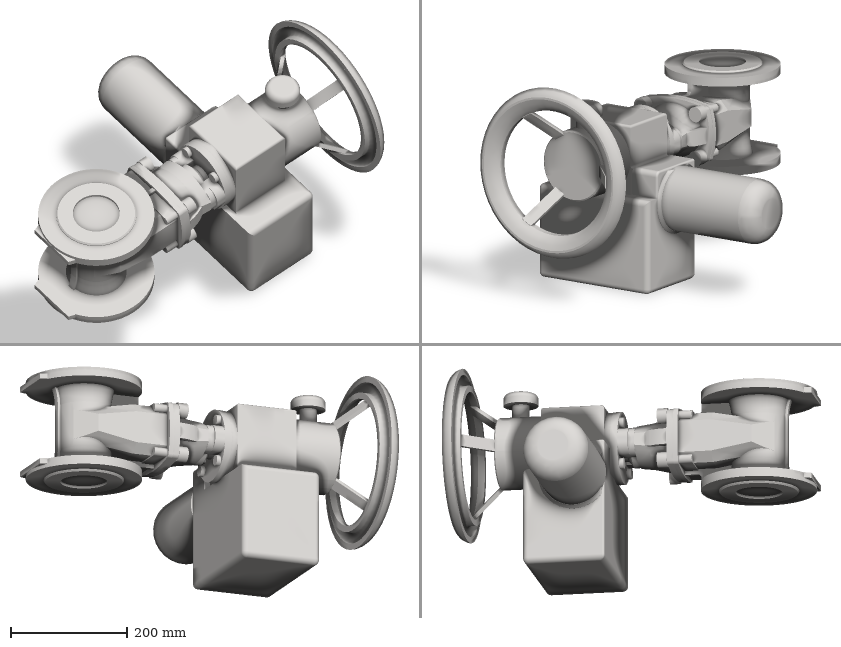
import cadquery as cq
import math


flange_radius = 100.0
flange_inner_z = 71.0
flange_outer_z = 87.0
raised_face_radius = 69.0
raised_face_height = 4.0
raised_face_chamfer = 2.5
bore_radius = 40.0
bore_depth = 4.5
neck_radius = 47.0
neck_straight_z = 40.0
neck_end_radius = 52.0
neck_mid_radius = 48.5
neck_rib_width = 14.0
neck_rib_height = 4.5
tab_front_half_width = 45.0
tab_back_half_width = 49.5
tab_length = 12.0
tab_height = 9.5

case_half_width = 61.5
case_nose_half_width = 34.0
case_nose_y = -33.0
case_slant_y = 2.0
case_half_height = 44.0
case_nose_half_height = 26.5
case_straight_y = 72.0
case_side_half_height = 27.5
case_nose_side_half_height = 9.0
case_ridge_half_width = 46.0
web_thickness = 7.5
web_half_height = 53.5
web_corner = 4.5
case_end_y = 105.5
case_end_half_width = 57.0
case_end_half_height = 46.5

joint_y = 129.0
joint_split_y = 137.0
joint_end_y = 148.5
joint_step = 0.5
joint_half_width = 75.5
joint_half_height = 57.0
joint_corner_x = 67.0
joint_corner_z = 48.5
joint_corner_fillet = 7.5
joint_bolt_x = 57.0
joint_bolt_z = 39.0
joint_boss_radius = 7.5
joint_head_radius = 13.0
joint_head_y = 166.0

bonnet_top_y = 207.5
yoke_plate_y = 218.0
bonnet_base_half_width = 56.0
bonnet_base_side = 16.0
bonnet_top_side = 10.0
bonnet_base_half_height = 48.0
bonnet_mid_y = 182.0
bonnet_mid_half_height = 39.0
bonnet_mid_side = 12.5
yoke_half_width = 59.0
yoke_half_height = 23.0
yoke_inner_x = 23.0
yoke_fillet = 19.0
hub_radius = 35.0
hub_neck_radius = 23.0
hub_neck_y = 227.5
side_rib_start_y = 193.5
side_rib_radius = 14.0
side_rib_half_width = 70.0
side_rib_middle = (65.0, 173.5)
side_rib_end_half_width = 54.0

actuator_radius = 62.0
mount_radius = 63.0
mount_end_y = 249.0
actuator_start_y = 236.5
actuator_end_y = 452.5
actuator_chamfer = 2.5
mount_bolt_offset = 36.0
mount_bolt_radius = 9.5
mount_bolt_height = 7.5
gearbox_half_width = 63.0
gearbox_start_y = 259.5
gearbox_end_y = 369.0
gearbox_top_z = 63.0
gearbox_fillet = 4.5
gearbox_skirt = 4.5

control_half_width = 115.0
control_start_y = 249.0
control_end_y = 392.0
control_top_z = -60.0
control_bottom_z = -225.5
control_fillet = 9.5
control_small_fillet = 4.0
motor_block_end_y = 364.5
motor_block_top_z = -12.5
motor_radius = 56.5
motor_y = 302.0
motor_z = -71.0
motor_end_x = -309.0
motor_fillet = 29.5
motor_collar_size = 5.5
collar_lip = 0.5

knob_y = 416.0
knob_stem_radius = 15.0
knob_radius = 30.0
knob_bottom_z = 83.5
knob_top_z = 105.0
knob_fillet = 10.0

wheel_radius = 150.0
wheel_back_y = 528.5
wheel_lip_y = 510.0
wheel_back_radius = 137.0
wheel_shoulder = (146.0, 521.0)
dish_radius = 133.0
dish_middle = (121.0, 523.0)
lip_inner_radius = 139.5
groove_inner_radius = 120.5
groove_depth = 9.5
ring_inner_radius = 110.0
ring_front_y = 499.5
ring_back_y = 511.5
spoke_angles = (60, 180, 300)
spoke_width = 21.0
spoke_thickness = 7.0
spoke_hub_radius = 53.5
spoke_hub_y = 446.0
spoke_rim_radius = 112.0
spoke_rim_y = 511.0

overlap = 3.0


def y_cylinder(radius, y_start, y_end, x=0, z=0):
    """Round bar along Y."""
    profile = cq.Workplane("XZ", origin=(x, y_start, z)).circle(radius)
    return profile.extrude(y_start - y_end)


def block(x_start, x_end, y_start, y_end, z_start, z_end):
    size = (x_end - x_start, y_end - y_start, z_end - z_start)
    return cq.Workplane("XY").box(*size, centered=False).translate((x_start, y_start, z_start))


def both_z(solid):
    """The solid together with its mirror image below."""
    return solid.union(solid.mirror("XY"))


def both_x(solid):
    return solid.union(solid.mirror("YZ"))


def revolve_about_y(profile):
    return profile.close().revolve(360, (0, 0, 0), (0, 1, 0))


def make_neck(extra_radius):
    """Straight tube that flares out to both flanges."""
    mid_flare_z = (neck_straight_z + flange_inner_z) / 2
    start_radius = neck_radius + extra_radius
    mid_radius = neck_mid_radius + extra_radius
    end_radius = neck_end_radius + extra_radius
    half = (
        cq.Workplane("XZ")
        .lineTo(start_radius, 0)
        .lineTo(start_radius, neck_straight_z)
        .threePointArc((mid_radius, mid_flare_z), (end_radius, flange_inner_z))
        .lineTo(0, flange_inner_z)
        .close()
        .revolve(360, (0, 0, 0), (0, 1, 0))
    )
    return both_z(half)


def make_neck_rib():
    strip = block(-neck_rib_width / 2, neck_rib_width / 2, -flange_radius, 0, -flange_inner_z, flange_inner_z)
    return make_neck(neck_rib_height).intersect(strip)


def make_flange():
    """Upper flange with raised face, blind bore and front tab."""
    disc = cq.Workplane("XY").workplane(offset=flange_inner_z).circle(flange_radius)
    disc = disc.extrude(flange_outer_z - flange_inner_z)
    disc = disc.faces(">Z").workplane().circle(raised_face_radius).extrude(raised_face_height)
    disc = disc.faces(">Z").chamfer(raised_face_chamfer)
    disc = disc.faces(">Z").workplane().circle(bore_radius).cutBlind(-bore_depth)
    tab_back_y = tab_length - flange_radius
    tab = (
        cq.Workplane("XY")
        .workplane(offset=flange_inner_z)
        .moveTo(-tab_front_half_width, -flange_radius)
        .lineTo(tab_front_half_width, -flange_radius)
        .lineTo(tab_back_half_width, tab_back_y)
        .lineTo(-tab_back_half_width, tab_back_y)
        .close()
        .extrude(tab_height)
    )
    return disc.union(tab)


def make_case():
    """Wedge housing: bevelled block tapering to a narrow nose."""

    def section(y, side_half_height, ridge_half_width, half_height):
        """Octagon with upright sides and bevelled corners."""
        corner = (ridge_half_width, half_height)
        side = (case_half_width, side_half_height)
        outline = [corner, side, (side[0], -side[1]), (corner[0], -corner[1])]
        opposite = [(-x, -z) for x, z in outline]
        return cq.Workplane("XZ", origin=(0, y, 0)).polyline(outline + opposite).close().wires().val()

    base_shape = (case_side_half_height, case_ridge_half_width, case_half_height)
    nose_shape = (case_nose_side_half_height, case_nose_half_width, case_nose_half_height)
    sections = [
        section(joint_y, *base_shape),
        section(case_straight_y, *base_shape),
        section(case_nose_y, *nose_shape),
    ]
    plan = (
        cq.Workplane("XY")
        .moveTo(0, joint_y)
        .lineTo(case_half_width, joint_y)
        .lineTo(case_half_width, case_slant_y)
        .lineTo(case_nose_half_width, case_nose_y)
        .lineTo(0, case_nose_y)
        .close()
        .extrude(case_half_height, both=True)
    )
    return both_x(plan).intersect(cq.Workplane("XY").add(cq.Solid.makeLoft(sections, True)))


def make_case_end():
    """Thick end of the case with the stiffening web."""
    half_width = case_end_half_width
    half_height = case_end_half_height
    end = block(-half_width, half_width, case_end_y, joint_y, -half_height, half_height)
    web = (
        cq.Workplane("YZ")
        .lineTo(joint_y, 0)
        .lineTo(joint_y, web_half_height)
        .lineTo(flange_radius + web_corner, web_half_height)
        .lineTo(flange_radius, web_half_height + web_corner)
        .lineTo(flange_radius, flange_inner_z)
        .lineTo(0, flange_inner_z)
        .close()
        .extrude(web_thickness / 2, both=True)
    )
    return end.union(both_z(web))


def joint_plate(y_start, y_end, inset):
    """Flange plate with four bulged sides."""
    corner_x = joint_corner_x - inset
    corner_z = joint_corner_z - inset
    half_width = joint_half_width - inset
    half_height = joint_half_height - inset
    return (
        cq.Workplane("XZ", origin=(0, y_start, 0))
        .moveTo(-corner_x, corner_z)
        .threePointArc((0, half_height), (corner_x, corner_z))
        .threePointArc((half_width, 0), (corner_x, -corner_z))
        .threePointArc((0, -half_height), (-corner_x, -corner_z))
        .threePointArc((-half_width, 0), (-corner_x, corner_z))
        .close()
        .extrude(y_start - y_end)
        .edges("|Y")
        .fillet(joint_corner_fillet)
    )


def make_joint():
    """Body flange and bonnet flange held by four bolts."""
    plates = joint_plate(joint_y, joint_split_y, 0).union(joint_plate(joint_split_y, joint_end_y, joint_step))
    for x in (-joint_bolt_x, joint_bolt_x):
        for z in (-joint_bolt_z, joint_bolt_z):
            plates = plates.union(y_cylinder(joint_boss_radius, case_end_y, joint_y, x, z))
            plates = plates.union(y_cylinder(joint_head_radius, joint_end_y, joint_head_y, x, z))
    return plates


def make_bonnet():
    def section(y, half_width, half_height, half_side):
        """Outline with flat sides and arched top and bottom."""
        return (
            cq.Workplane("XZ", origin=(0, y, 0))
            .moveTo(-half_width, half_side)
            .threePointArc((0, half_height), (half_width, half_side))
            .lineTo(half_width, -half_side)
            .threePointArc((0, -half_height), (-half_width, -half_side))
            .close()
            .wires()
            .val()
        )

    body = cq.Solid.makeLoft(
        [
            section(joint_end_y, bonnet_base_half_width, bonnet_base_half_height, bonnet_base_side),
            section(bonnet_mid_y, bonnet_base_half_width, bonnet_mid_half_height, bonnet_mid_side),
            section(bonnet_top_y, yoke_half_width, hub_radius, bonnet_top_side),
        ],
        True,
    )
    return cq.Workplane("XY").add(body)


def make_side_ribs():
    """Rounded lugs bulging from both sides of the bonnet."""
    plan = (
        cq.Workplane("XY")
        .moveTo(0, joint_end_y)
        .lineTo(side_rib_half_width, joint_end_y)
        .threePointArc(side_rib_middle, (side_rib_end_half_width, side_rib_start_y))
        .lineTo(0, side_rib_start_y)
        .close()
        .extrude(side_rib_radius, both=True)
    )
    straight_end_y = side_rib_start_y - side_rib_radius
    face = (
        cq.Workplane("YZ")
        .moveTo(joint_end_y, side_rib_radius)
        .lineTo(straight_end_y, side_rib_radius)
        .threePointArc((side_rib_start_y, 0), (straight_end_y, -side_rib_radius))
        .lineTo(joint_end_y, -side_rib_radius)
        .close()
        .extrude(side_rib_half_width)
    )
    return both_x(plan.intersect(face))


def make_yoke():
    """Stem hub and the two arms that carry the actuator."""
    hub = revolve_about_y(
        cq.Workplane("XY")
        .moveTo(0, bonnet_top_y)
        .lineTo(hub_radius, bonnet_top_y)
        .lineTo(hub_radius, yoke_plate_y)
        .lineTo(hub_neck_radius, hub_neck_y)
        .lineTo(hub_neck_radius, actuator_start_y)
        .lineTo(0, actuator_start_y)
    )
    half_height = yoke_half_height
    plate = block(-yoke_half_width, yoke_half_width, bonnet_top_y, yoke_plate_y, -half_height, half_height)
    plate = plate.edges("|Y").fillet(yoke_fillet)
    arm = block(yoke_inner_x, mount_radius, yoke_plate_y, actuator_start_y, -half_height, half_height)
    arm = arm.edges("|Y and >X").fillet(yoke_fillet)
    return hub.union(plate).union(both_x(arm))


def make_gearbox_skirt(side, base_z):
    """Hollow rounding where one gearbox side meets the face below it; side is 1 or -1."""
    size = gearbox_skirt
    bow = size * (1 - math.sqrt(0.5))
    return (
        cq.Workplane("XZ", origin=(0, gearbox_start_y, 0))
        .moveTo(side * gearbox_half_width, base_z)
        .lineTo(side * (gearbox_half_width + size), base_z)
        .threePointArc(
            (side * (gearbox_half_width + bow), base_z + bow),
            (side * gearbox_half_width, base_z + size),
        )
        .close()
        .extrude(gearbox_start_y - gearbox_end_y)
    )


def make_actuator():
    body = y_cylinder(actuator_radius, mount_end_y, actuator_end_y).faces(">Y").chamfer(actuator_chamfer)
    body = body.union(y_cylinder(mount_radius, actuator_start_y, mount_end_y))
    half_width = gearbox_half_width
    bottom_z = control_top_z - overlap
    gearbox = block(-half_width, half_width, gearbox_start_y, gearbox_end_y, bottom_z, gearbox_top_z)
    body = body.union(gearbox.faces(">Z").edges().fillet(gearbox_fillet))
    for x in (-mount_bolt_offset, mount_bolt_offset):
        for z in (-mount_bolt_offset, mount_bolt_offset):
            head_y = actuator_start_y - mount_bolt_height
            head = y_cylinder(mount_bolt_radius, head_y, actuator_start_y, x, z)
            body = body.union(head)
    return body


def make_control_box():
    """Electronics box with the raised block that carries the motor."""
    box = block(
        -control_half_width,
        control_half_width,
        control_start_y,
        control_end_y,
        control_bottom_z,
        control_top_z,
    )
    box = box.faces(">X or >Y or <Z").edges().fillet(control_fillet)
    box = box.faces("<X").edges("<Y").fillet(control_small_fillet)
    motor_block = block(
        -control_half_width,
        -gearbox_half_width,
        control_start_y,
        motor_block_end_y,
        control_top_z - overlap,
        motor_block_top_z,
    )
    motor_block = motor_block.edges("|X and >Y and >Z").fillet(control_fillet)
    motor_block = motor_block.edges("(<X and <Y) or (<X and >Z) or (<Y and >Z)").fillet(control_small_fillet)
    skirts = make_gearbox_skirt(-1, motor_block_top_z).union(make_gearbox_skirt(1, control_top_z))
    return box.union(motor_block).union(skirts)


def make_motor():
    """Motor can with a conical collar trimmed to the face it stands on."""
    base = cq.Workplane("YZ", origin=(-control_half_width, motor_y, motor_z))
    can = base.circle(motor_radius).extrude(motor_end_x + control_half_width)
    size = motor_collar_size
    collar = base.circle(motor_radius + size).extrude(-size).faces("<X").chamfer(size - collar_lip)
    seat = block(
        -control_half_width - size,
        -control_half_width,
        control_start_y + control_small_fillet,
        control_end_y,
        control_bottom_z,
        motor_block_top_z - control_small_fillet,
    )
    return can.faces("<X").edges().fillet(motor_fillet).union(collar.intersect(seat))


def make_knob():
    stem = cq.Workplane("XY", origin=(0, knob_y, 0)).circle(knob_stem_radius).extrude(knob_bottom_z)
    head = cq.Workplane("XY", origin=(0, knob_y, knob_bottom_z)).circle(knob_radius)
    head = head.extrude(knob_top_z - knob_bottom_z).faces(">Z").edges().fillet(knob_fillet)
    return stem.union(head)


def make_handwheel():
    """Dished rim with a front groove, held by three inclined spokes."""
    groove_mid_radius = (lip_inner_radius + groove_inner_radius) / 2
    rim = revolve_about_y(
        cq.Workplane("XY")
        .moveTo(ring_inner_radius, ring_back_y)
        .threePointArc(dish_middle, (dish_radius, wheel_back_y))
        .lineTo(wheel_back_radius, wheel_back_y)
        .threePointArc(wheel_shoulder, (wheel_radius, wheel_lip_y))
        .lineTo(lip_inner_radius, wheel_lip_y)
        .threePointArc((groove_mid_radius, wheel_lip_y + groove_depth), (groove_inner_radius, wheel_lip_y))
        .lineTo(groove_inner_radius, ring_front_y)
        .lineTo(ring_inner_radius, ring_front_y)
    )
    run = spoke_rim_radius - spoke_hub_radius
    rise = spoke_rim_y - spoke_hub_y
    length = math.hypot(run, rise)
    spoke = cq.Workplane("XY").box(length, spoke_thickness, spoke_width)
    spoke = spoke.rotate((0, 0, 0), (0, 0, 1), math.degrees(math.atan2(rise, run)))
    spoke = spoke.translate((spoke_hub_radius + run / 2, spoke_hub_y + rise / 2, 0))
    for angle in spoke_angles:
        rim = rim.union(spoke.rotate((0, 0, 0), (0, 1, 0), angle))
    return rim


result = make_neck(0)
for feature in (
    make_neck_rib(),
    both_z(make_flange()),
    make_case(),
    make_case_end(),
    make_joint(),
    make_bonnet(),
    make_side_ribs(),
    make_yoke(),
    make_actuator(),
    make_control_box(),
    make_motor(),
    make_knob(),
    make_handwheel(),
):
    result = result.union(feature)